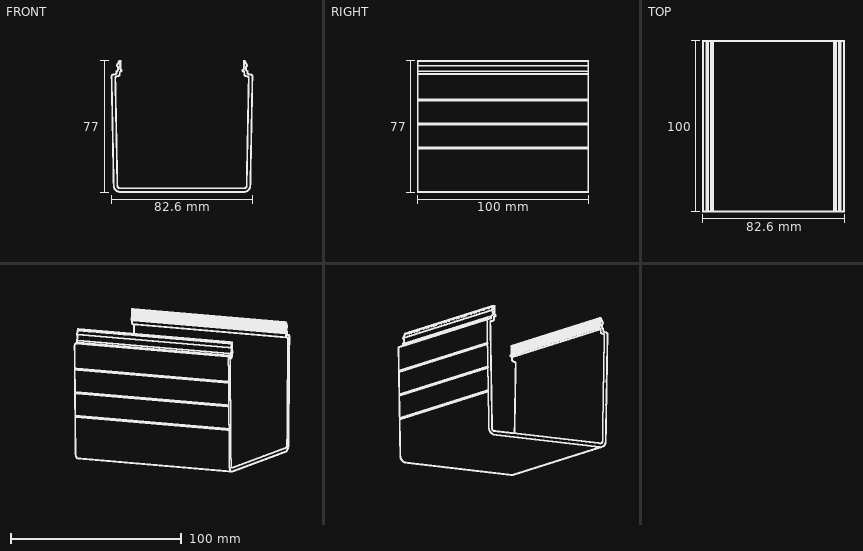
import cadquery as cq

length = 100.0
height = 77.0
wall = 2.3

foot_half_width = 40.0
widest_half_width = 41.3
shoulder_height = 68.9
foot_outer_radius = 4.0
foot_inner_radius = 1.2
shoulder_radius = 1.4

step_inner_half_width = 36.4
step_underside = 67.7
step_outer_radius = 1.5
step_inner_radius = 0.8

ledge_half_width = 39.3
neck_half_width = 38.4
neck_bottom = 69.4
neck_top = 70.6
waist_half_width = 37.4
waist_height = 72.5
bead_half_width = 38.2
bead_height = 74.1
tip_outer_half_width = 36.8
tip_inner_half_width = 36.0
tip_straight = 0.4

serration_count = 4
serration_pitch = 1.2
serration_width = 0.6
serration_depth = 0.3
top_serration = 76.1
barb_start = 71.7
barb_half_width = 35.2
barb_top = 71.3
barb_bottom = 71.0
barb_root = 70.3

groove_count = 3
groove_pitch = 14.1
lowest_groove = 25.8
groove_width = 0.8
groove_depth = 0.15


def outer_half_width(z):
    """Half width of the leaning outer wall face at height z."""
    lean = (widest_half_width - foot_half_width) / (shoulder_height - shoulder_radius)
    return foot_half_width + lean * z


def round_corner(body, corner, radius):
    """Round the lengthwise edge that passes through an (x, z) corner."""
    x, z = corner
    edge = cq.selectors.NearestToPointSelector((x, length / 2, z))
    return body.edges("|Y").edges(edge).fillet(radius)


def extrude_section(section):
    """Run a section in the X-Z plane from Y = 0 to Y = length."""
    return section.close().extrude(-length)


foot_outer = (foot_half_width, 0)
foot_inner = (outer_half_width(wall) - wall, wall)
shoulder = (outer_half_width(shoulder_height), shoulder_height)
step_inner = (outer_half_width(step_underside) - wall, step_underside)
step_outer = (step_inner_half_width, step_underside)


def make_half():
    """Section from the X = 0 plane out to one wall, with its lengthwise corners rounded."""
    section = (
        cq.Workplane("XZ")
        .moveTo(0, 0)
        .lineTo(*foot_outer)
        .lineTo(*shoulder)
        .lineTo(ledge_half_width, shoulder_height)
        .lineTo(neck_half_width, neck_bottom)
        .lineTo(neck_half_width, neck_top)
        .threePointArc((waist_half_width, waist_height), (bead_half_width, bead_height))
        .lineTo(tip_outer_half_width, height - tip_straight)
        .lineTo(tip_outer_half_width, height)
        .lineTo(tip_inner_half_width, height)
    )
    for index in range(serration_count):
        valley = top_serration - index * serration_pitch
        section = (
            section
            .lineTo(tip_inner_half_width, valley + serration_width / 2)
            .lineTo(tip_inner_half_width + serration_depth, valley)
            .lineTo(tip_inner_half_width, valley - serration_width / 2)
        )
    section = (
        section
        .lineTo(tip_inner_half_width, barb_start)
        .lineTo(barb_half_width, barb_top)
        .lineTo(barb_half_width, barb_bottom)
        .lineTo(step_inner_half_width, barb_root)
        .lineTo(*step_outer)
        .lineTo(*step_inner)
        .lineTo(*foot_inner)
        .lineTo(0, wall)
    )
    body = extrude_section(section)
    body = round_corner(body, foot_outer, foot_outer_radius)
    body = round_corner(body, foot_inner, foot_inner_radius)
    body = round_corner(body, shoulder, shoulder_radius)
    body = round_corner(body, step_outer, step_outer_radius)
    return round_corner(body, step_inner, step_inner_radius)


def make_groove(z):
    """V-shaped cutter whose mouth lies on the outer wall face, centred at height z."""
    low = z - groove_width / 2
    high = z + groove_width / 2
    section = (
        cq.Workplane("XZ")
        .moveTo(outer_half_width(low), low)
        .lineTo(outer_half_width(high), high)
        .lineTo(outer_half_width(z) - groove_depth, z)
    )
    return extrude_section(section)


half = make_half()
for index in range(groove_count):
    half = half.cut(make_groove(lowest_groove + index * groove_pitch))

result = half.union(half.mirror("YZ")).clean()